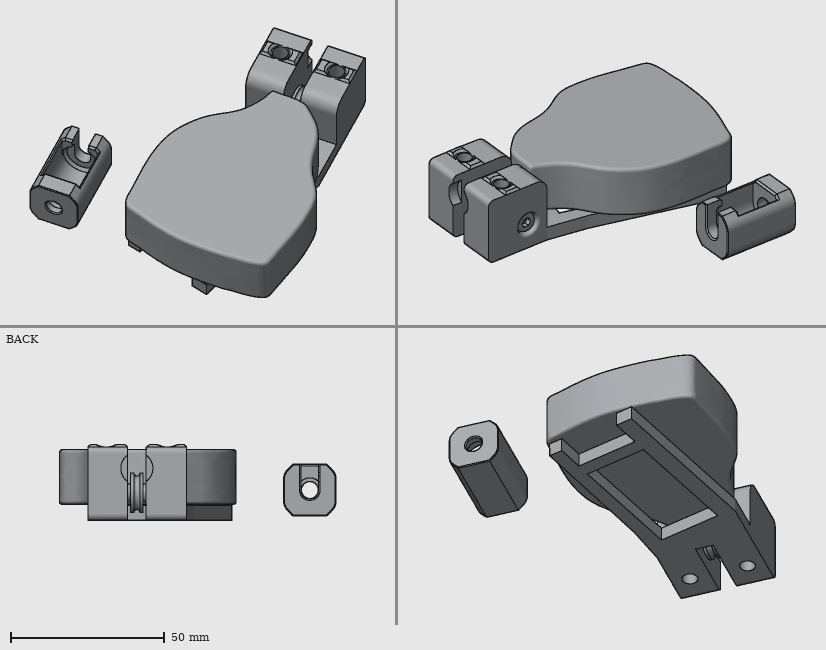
import cadquery as cq
import math

PLATE_HEIGHT = 5.0
LUG_LEFT = 48.8
GAP_LEFT = 62.1
GAP_WIDTH = 6.0
RIGHT_LUG_WIDTH = 13.0
GAP_RIGHT = GAP_LEFT + GAP_WIDTH
GAP_CENTRE = GAP_LEFT + GAP_WIDTH / 2
LUG_RIGHT = GAP_RIGHT + RIGHT_LUG_WIDTH
LUG_BACK = 95.5
LUG_DEPTH = 24.0
LUG_FRONT = LUG_BACK - LUG_DEPTH
LUG_HEIGHT = 24.0
LUG_FRONT_RADIUS = 4.5
LUG_BACK_RADIUS = 2.0

KEY_HEIGHT = 0.8
KEY_LENGTH = 13.0
KEY_WIDTH = 6.0
KEY_TAPER = 45
MOUNT_HOLE_DIAMETER = 5.2
MOUNT_HOLE_SPACING = 20.0
MOUNT_HOLE_Y = LUG_BACK - 10.0
MOUNT_CONE_BOTTOM = 6.2
MOUNT_CONE_TOP = 8.0

SEAT_DIAMETER = 10.5
SEAT_DEPTH = 3.6
SEAT_Z = 17.0

LEG_ANGLE = math.radians(15.0)
LEFT_LEG_WIDTH = 4.8
RIGHT_LEG_WIDTH = 6.0
CROSSBAR_WIDTH = 5.0
CROSSBAR_FRONT = (41.2, 17.5)
WINDOW_CORNER = (53.3, 63.2)
LEFT_SHOULDER = (46.3, 56.4)
LEFT_TOE = (34.05, 9.2)
RIGHT_SHOULDER_Y = 57.0
RIGHT_LEG_LENGTH = 59.0

AXLE_Y = LUG_BACK - 16.5
AXLE_Z = 9.0
AXLE_DIAMETER = 4.0
PULLEY_DIAMETER = 13.0
PULLEY_WIDTH = 4.0
GROOVE_RADIUS = 1.0
BOSS_TIP_DIAMETER = 5.5
BOSS_ROOT_DIAMETER = 6.2
SCREW_HEAD_DIAMETER = 7.0
SCREW_HEAD_HEIGHT = 4.0
SCREW_HEAD_RADIUS = 0.5
SCREW_LENGTH = 25.0
SOCKET_FLATS = 3.0
SOCKET_DEPTH = 2.0
HEAD_RECESS = 1.3
COUNTERBORE_DIAMETER = 8.0
COUNTERBORE_RADIUS = 1.0
HEAD_SEAT_X = LUG_LEFT + HEAD_RECESS + SCREW_HEAD_HEIGHT

PAD_BOTTOM = PLATE_HEIGHT + 0.2
PAD_THICKNESS = 18.0
PAD_TOP_RADIUS = 1.2
PAD_BOTTOM_RADIUS = 1.0
PAD_TIP_RADIUS = 1.0

HOLDER_WIDTH = 17.2
HOLDER_HEIGHT = 17.0
HOLDER_LENGTH = 28.0
HOLDER_FRONT = 6.5
HOLDER_BOTTOM = 1.4
HOLDER_X = HOLDER_WIDTH / 2
HOLDER_Z = HOLDER_BOTTOM + HOLDER_HEIGHT / 2
HOLDER_FLAT_WIDTH = 11.0
HOLDER_EDGE_RADIUS = 4.6
HOLDER_END_CHAMFER = 0.3
BORE_DIAMETER = 13.0
BORE_FRONT = HOLDER_FRONT + 6.2
BORE_LENGTH = 17.6
BORE_END_DIAMETER = 11.03
OPENING_LENGTH = 15.5
OPENING_CHAMFER = 0.7
CABLE_DIAMETER = 5.5
CABLE_CHAMFER = 0.4
CABLE_SEAT_DIAMETER = 8.0
FRONT_WALL = 2.5
SLOT_WIDTH = 5.75
SLOT_MOUTH_CHAMFER = 0.5

PICK_MARGIN = 0.1


def x_cylinder(x_start, length, diameter):
    """Cylinder along X on the pulley axis."""
    return (cq.Workplane("YZ", origin=(x_start, AXLE_Y, AXLE_Z))
            .circle(diameter / 2).extrude(length))


def x_cone(x_start, x_end, start_diameter, end_diameter):
    """Truncated cone along X on the pulley axis."""
    return cq.Workplane(obj=cq.Solid.makeCone(
        start_diameter / 2, end_diameter / 2, abs(x_end - x_start),
        pnt=cq.Vector(x_start, AXLE_Y, AXLE_Z),
        dir=cq.Vector(math.copysign(1, x_end - x_start), 0, 0)))


def along_legs(point, across=0.0, along=0.0):
    """Move a point across the legs (to the right) and along them (to the back)."""
    return (point[0] + across * math.cos(LEG_ANGLE) + along * math.sin(LEG_ANGLE),
            point[1] - across * math.sin(LEG_ANGLE) + along * math.cos(LEG_ANGLE))


def make_plate():
    right_shoulder = (LUG_RIGHT, RIGHT_SHOULDER_Y)
    right_toe = along_legs(right_shoulder, along=-RIGHT_LEG_LENGTH)
    right_toe_inner = along_legs(right_toe, across=-RIGHT_LEG_WIDTH)
    left_toe_inner = along_legs(LEFT_TOE, across=LEFT_LEG_WIDTH)

    leg_gap = ((right_toe_inner[0] - CROSSBAR_FRONT[0]) * math.cos(LEG_ANGLE)
               - (right_toe_inner[1] - CROSSBAR_FRONT[1]) * math.sin(LEG_ANGLE))
    crossbar_right = along_legs(CROSSBAR_FRONT, across=leg_gap)

    plate = (cq.Workplane("XY")
             .moveTo(LUG_LEFT, LUG_FRONT)
             .lineTo(*LEFT_SHOULDER)
             .lineTo(*LEFT_TOE)
             .lineTo(*left_toe_inner)
             .lineTo(*CROSSBAR_FRONT)
             .lineTo(*crossbar_right)
             .lineTo(*right_toe_inner)
             .lineTo(*right_toe)
             .lineTo(*right_shoulder)
             .lineTo(LUG_RIGHT, LUG_FRONT)
             .close().extrude(PLATE_HEIGHT))

    window_length = ((WINDOW_CORNER[0] - CROSSBAR_FRONT[0]) * math.sin(LEG_ANGLE)
                     + (WINDOW_CORNER[1] - CROSSBAR_FRONT[1]) * math.cos(LEG_ANGLE)
                     - CROSSBAR_WIDTH)
    window = (cq.Workplane("XY")
              .polyline([WINDOW_CORNER,
                         along_legs(WINDOW_CORNER, across=leg_gap),
                         along_legs(WINDOW_CORNER, leg_gap, -window_length),
                         along_legs(WINDOW_CORNER, along=-window_length)])
              .close().extrude(PLATE_HEIGHT))
    return plate.cut(window)


def make_lug(x_start, width, key_centre, hole_x):
    block = (cq.Workplane("XY")
             .box(width, LUG_DEPTH, LUG_HEIGHT, centered=False)
             .translate((x_start, LUG_FRONT, 0))
             .edges("|X and >Y").fillet(LUG_BACK_RADIUS)
             .edges("|X and <Y and >Z").fillet(LUG_FRONT_RADIUS))
    key = (cq.Workplane("XY", origin=(key_centre, MOUNT_HOLE_Y, LUG_HEIGHT))
           .rect(KEY_LENGTH, KEY_WIDTH).extrude(KEY_HEIGHT, taper=KEY_TAPER))
    hole = (cq.Workplane("XY", origin=(hole_x, MOUNT_HOLE_Y, 0))
            .circle(MOUNT_HOLE_DIAMETER / 2).extrude(LUG_HEIGHT + KEY_HEIGHT))
    cone = cq.Workplane(obj=cq.Solid.makeCone(
        MOUNT_CONE_BOTTOM / 2, MOUNT_CONE_TOP / 2, KEY_HEIGHT,
        pnt=cq.Vector(hole_x, MOUNT_HOLE_Y, LUG_HEIGHT)))
    return block.union(key).cut(hole).cut(cone)


def make_base():
    left_lug = make_lug(LUG_LEFT, GAP_LEFT - LUG_LEFT, LUG_LEFT + KEY_LENGTH / 2,
                        GAP_CENTRE - MOUNT_HOLE_SPACING / 2)
    right_lug = make_lug(GAP_RIGHT, RIGHT_LUG_WIDTH, LUG_RIGHT - KEY_LENGTH / 2,
                         GAP_CENTRE + MOUNT_HOLE_SPACING / 2)
    body = make_plate().union(left_lug).union(right_lug)

    for face, side in ((GAP_LEFT, -1), (GAP_RIGHT, 1)):
        pulley_face = GAP_CENTRE + side * PULLEY_WIDTH / 2
        body = body.union(x_cone(face, pulley_face, BOSS_ROOT_DIAMETER, BOSS_TIP_DIAMETER))

    seat = (cq.Workplane("XZ", origin=(GAP_CENTRE, LUG_BACK, SEAT_Z))
            .circle(SEAT_DIAMETER / 2).extrude(SEAT_DEPTH))
    body = body.cut(seat)

    counterbore = x_cylinder(LUG_LEFT, HEAD_SEAT_X - LUG_LEFT, COUNTERBORE_DIAMETER)
    body = body.cut(x_cylinder(HEAD_SEAT_X, SCREW_LENGTH, AXLE_DIAMETER)).cut(counterbore)
    rim = cq.selectors.BoxSelector(
        (LUG_LEFT - PICK_MARGIN, AXLE_Y - COUNTERBORE_DIAMETER, AXLE_Z - COUNTERBORE_DIAMETER),
        (LUG_LEFT + PICK_MARGIN, AXLE_Y + COUNTERBORE_DIAMETER, AXLE_Z + COUNTERBORE_DIAMETER))
    return body.edges("%CIRCLE").edges(rim).fillet(COUNTERBORE_RADIUS)


def make_screw():
    head_face = HEAD_SEAT_X - SCREW_HEAD_HEIGHT
    head = (x_cylinder(head_face, SCREW_HEAD_HEIGHT, SCREW_HEAD_DIAMETER)
            .faces("<X").edges().fillet(SCREW_HEAD_RADIUS))
    shank = x_cylinder(HEAD_SEAT_X, SCREW_LENGTH, AXLE_DIAMETER)
    socket = (cq.Workplane("YZ", origin=(head_face, AXLE_Y, AXLE_Z))
              .transformed(rotate=(0, 0, 90))
              .polygon(6, SOCKET_FLATS, circumscribed=True).extrude(SOCKET_DEPTH))
    return head.union(shank).cut(socket)


def make_pulley():
    left = GAP_CENTRE - PULLEY_WIDTH / 2
    disc = x_cylinder(left, PULLEY_WIDTH, PULLEY_DIAMETER)
    groove = cq.Workplane(obj=cq.Solid.makeTorus(
        PULLEY_DIAMETER / 2, GROOVE_RADIUS,
        cq.Vector(GAP_CENTRE, AXLE_Y, AXLE_Z), cq.Vector(1, 0, 0)))
    return disc.cut(x_cylinder(left, PULLEY_WIDTH, AXLE_DIAMETER)).cut(groove)


def make_pad():
    back_left = (58.5, 71.1)
    front_seam = (72.3, 0.0)
    front_right_corner = [(79.4, 0.5), (83.5, 1.15), (86.2, 2.4), (87.2, 5.2)]
    right_side = [(88.3, 11.5), (90.0, 21.5), (90.4, 28.0), (89.4, 36.0), (85.2, 43.0),
                  (82.2, 49.9), (80.7, 57.0), (77.4, 63.7), (74.0, 67.2)]
    back_right_corner = [(71.0, 69.7), (69.0, 70.4), (64.5, 70.8)]
    left_side = [(56.4, 65.4), (51.2, 58.5), (44.1, 53.3), (39.2, 48.1), (36.0, 43.0),
                 (33.6, 35.5), (32.65, 22.0), (32.8, 13.0)]
    front_left_corner = [(33.2, 8.8), (34.4, 7.0), (37.0, 5.9)]
    front = [(42.6, 4.0), (54.1, 0.9), (63.3, 0.05)]
    tip_edge = cq.selectors.NearestToPointSelector((*back_left, PAD_BOTTOM + PAD_THICKNESS / 2))

    return (cq.Workplane("XY", origin=(0, 0, PAD_BOTTOM))
            .moveTo(*front_seam)
            .spline(front_right_corner + right_side + back_right_corner + [back_left],
                    includeCurrent=True)
            .spline(left_side + front_left_corner + front + [front_seam], includeCurrent=True)
            .close().extrude(PAD_THICKNESS)
            .edges(tip_edge).fillet(PAD_TIP_RADIUS)
            .faces(">Z").edges().fillet(PAD_TOP_RADIUS)
            .faces("<Z").edges().fillet(PAD_BOTTOM_RADIUS))


def y_cylinder(y_start, length, diameter):
    """Cylinder along Y on the holder axis."""
    return (cq.Workplane("XZ", origin=(HOLDER_X, y_start, HOLDER_Z))
            .circle(diameter / 2).extrude(-length))


def y_cone(y_start, length, start_diameter, end_diameter):
    """Truncated cone along +Y on the holder axis."""
    return cq.Workplane(obj=cq.Solid.makeCone(
        start_diameter / 2, end_diameter / 2, length,
        pnt=cq.Vector(HOLDER_X, y_start, HOLDER_Z), dir=cq.Vector(0, 1, 0)))


def make_holder():
    holder_back = HOLDER_FRONT + HOLDER_LENGTH
    half_width = HOLDER_WIDTH / 2
    half_height = HOLDER_HEIGHT / 2
    half_flat = HOLDER_FLAT_WIDTH / 2

    half_chord = HOLDER_EDGE_RADIUS * math.sin(math.pi / 4)
    arc_x = half_width - HOLDER_EDGE_RADIUS + half_chord
    arc_z = half_height - (arc_x - half_flat)
    side_z = arc_z - half_chord
    mid_x = half_width - HOLDER_EDGE_RADIUS * (1 - math.cos(math.pi / 8))
    mid_z = side_z + HOLDER_EDGE_RADIUS * math.sin(math.pi / 8)

    body = (cq.Workplane("XZ", origin=(HOLDER_X, HOLDER_FRONT, HOLDER_Z))
            .moveTo(half_flat, half_height)
            .lineTo(arc_x, arc_z)
            .threePointArc((mid_x, mid_z), (half_width, side_z))
            .lineTo(half_width, -side_z)
            .threePointArc((mid_x, -mid_z), (arc_x, -arc_z))
            .lineTo(half_flat, -half_height)
            .lineTo(-half_flat, -half_height)
            .lineTo(-arc_x, -arc_z)
            .threePointArc((-mid_x, -mid_z), (-half_width, -side_z))
            .lineTo(-half_width, side_z)
            .threePointArc((-mid_x, mid_z), (-arc_x, arc_z))
            .lineTo(-half_flat, half_height)
            .close().extrude(-HOLDER_LENGTH)
            .faces("<Y or >Y").chamfer(HOLDER_END_CHAMFER))

    opening = (cq.Workplane("XY", origin=(HOLDER_X, BORE_FRONT + OPENING_LENGTH / 2, HOLDER_Z))
               .rect(BORE_DIAMETER, OPENING_LENGTH).extrude(HOLDER_HEIGHT))
    body = body.cut(opening)
    rim = cq.selectors.BoxSelector(
        (HOLDER_X - BORE_DIAMETER / 2 - PICK_MARGIN, BORE_FRONT - PICK_MARGIN, HOLDER_Z + side_z),
        (HOLDER_X + BORE_DIAMETER / 2 + PICK_MARGIN, BORE_FRONT + OPENING_LENGTH + PICK_MARGIN,
         HOLDER_Z + HOLDER_HEIGHT), boundingbox=False)
    body = body.edges(rim).edges("not |Z").chamfer(OPENING_CHAMFER)

    end_cone_length = (BORE_DIAMETER - BORE_END_DIAMETER) / 2
    cone_front = BORE_FRONT + BORE_LENGTH - end_cone_length
    body = body.cut(y_cylinder(BORE_FRONT, BORE_LENGTH - end_cone_length, BORE_DIAMETER))
    body = body.cut(y_cone(cone_front, end_cone_length, BORE_DIAMETER, BORE_END_DIAMETER))

    cable_mouth = CABLE_DIAMETER + 2 * CABLE_CHAMFER
    body = body.cut(y_cylinder(HOLDER_FRONT, FRONT_WALL, CABLE_DIAMETER))
    body = body.cut(y_cone(HOLDER_FRONT, CABLE_CHAMFER, cable_mouth, CABLE_DIAMETER))
    seat_front = HOLDER_FRONT + FRONT_WALL
    body = body.cut(y_cylinder(seat_front, BORE_FRONT - seat_front, CABLE_SEAT_DIAMETER))

    slot_front = BORE_FRONT + OPENING_LENGTH
    slot_length = holder_back - slot_front
    slot = (cq.Workplane("XY", origin=(HOLDER_X, slot_front + slot_length / 2, HOLDER_Z))
            .rect(SLOT_WIDTH, slot_length).extrude(HOLDER_HEIGHT))
    body = body.cut(slot).cut(y_cylinder(slot_front, slot_length, SLOT_WIDTH))

    half_slot = SLOT_WIDTH / 2
    half_mouth = half_slot + SLOT_MOUTH_CHAMFER
    mouth_front = holder_back - SLOT_MOUTH_CHAMFER
    mouth = (cq.Workplane("XY", origin=(HOLDER_X, 0, HOLDER_Z))
             .polyline([(-half_slot, mouth_front), (half_slot, mouth_front),
                        (half_mouth, holder_back), (-half_mouth, holder_back)])
             .close().extrude(HOLDER_HEIGHT))
    mouth_cone = y_cone(mouth_front, SLOT_MOUTH_CHAMFER, SLOT_WIDTH, 2 * half_mouth)
    return body.cut(mouth).cut(mouth_cone)


base = make_base()
screw = make_screw()
pulley = make_pulley()
pad = make_pad()
holder = make_holder()

result = cq.Compound.makeCompound([base.val(), screw.val(), pulley.val(), pad.val(), holder.val()])